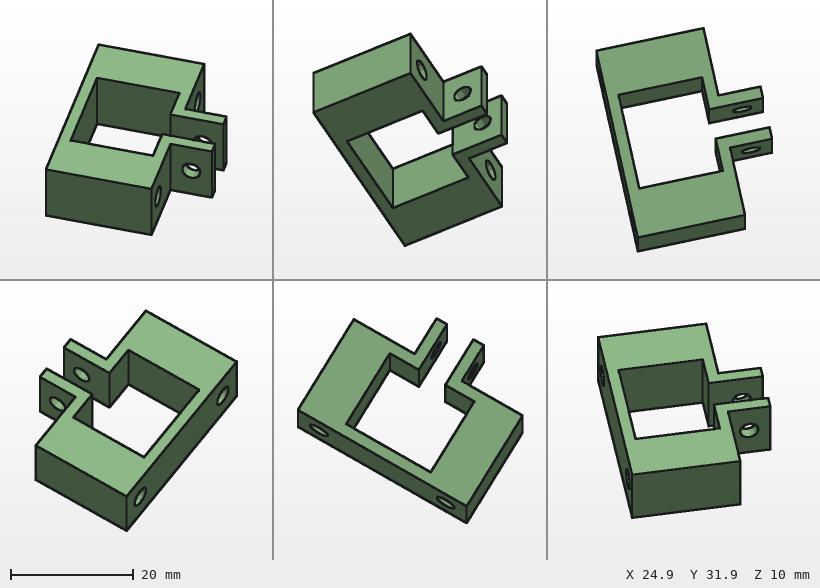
import cadquery as cq

body_depth = 17.85
body_width = 31.95
height = 10.0
wall = 1.98

window_depth = body_depth - 2 * wall
window_width = 15.98

arm_length = 7.0
arm_gap = 5.0
arms_width = arm_gap + 2 * wall
clamp_hole_diameter = 3.0

mount_hole_diameter = 3.32
mount_hole_spacing = (body_width + window_width) / 2

total_depth = body_depth + arm_length


def block(x_start, x_length, y_width):
    """Full-height block starting at x_start and centred on Y and Z."""
    return (
        cq.Workplane("XY")
        .box(x_length, y_width, height, centered=(False, True, True))
        .translate((x_start, 0, 0))
    )


frame = block(0, body_depth, body_width).union(block(body_depth, arm_length, arms_width))
window = block(wall, window_depth, window_width)
slit = block(body_depth - wall, wall + arm_length, arm_gap)
frame = frame.cut(window).cut(slit)

mount_holes = (
    cq.Workplane("YZ")
    .pushPoints([(-mount_hole_spacing / 2, 0), (mount_hole_spacing / 2, 0)])
    .circle(mount_hole_diameter / 2)
    .extrude(body_depth)
)

clamp_hole = (
    cq.Workplane("XZ")
    .center(body_depth + arm_length / 2, 0)
    .circle(clamp_hole_diameter / 2)
    .extrude(arms_width / 2, both=True)
)

result = frame.cut(mount_holes).cut(clamp_hole).translate((-total_depth / 2, 0, 0))